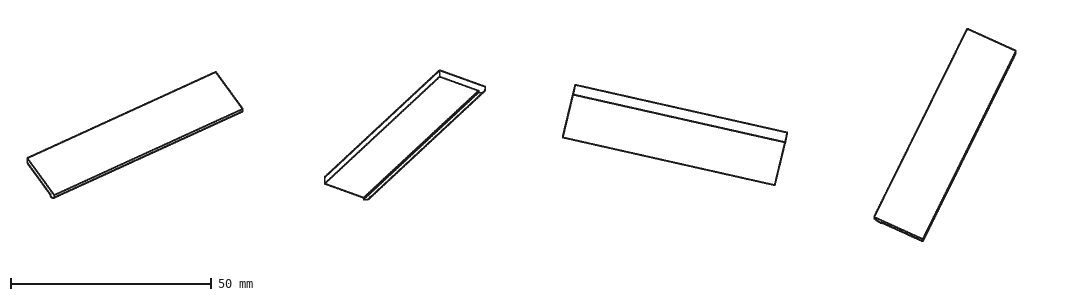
import cadquery as cq

length = 54.4
width = 13.5
height = 2.5

plate_thickness = 2.0
nose_radius = 2.0

right = width / 2
left = -right
plate_bottom = height - plate_thickness
lip_left = right - nose_radius

profile = (
    cq.Workplane("XZ")
    .moveTo(left, plate_bottom)
    .lineTo(lip_left, plate_bottom)
    .lineTo(lip_left, 0)
    .radiusArc((right, nose_radius), -nose_radius)
    .lineTo(right, height)
    .lineTo(left, height)
    .close()
)

result = profile.extrude(length / 2, both=True)